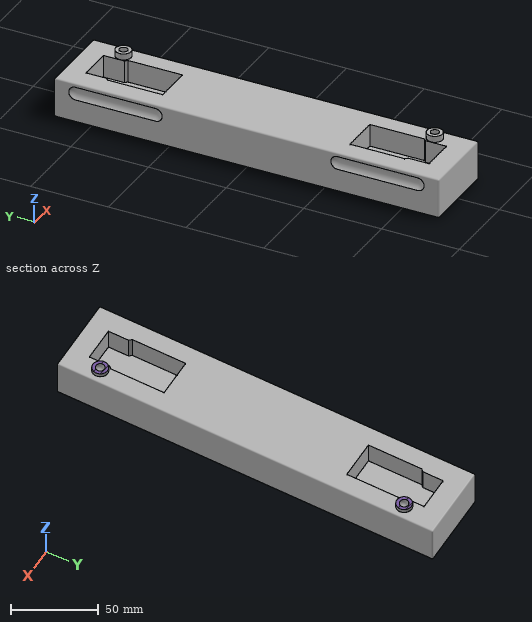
import cadquery as cq
import math

LENGTH = 248.0
WIDTH = 49.4
HEIGHT = 25.5
EDGE_RADIUS = 1.0

POCKET_WIDTH = 24.8
POCKET_LENGTH = 50.0
POCKET_DEPTH = 14.5
POCKET_END_MARGIN = 13.6
NECK_WIDTH = 21.8
NECK_LENGTH = 13.5
STEP = (POCKET_WIDTH - NECK_WIDTH) / 2

PIN_DIAMETER = 10.0
PIN_HEIGHT = 4.0
PIN_X = 16.0
PIN_END_MARGIN = 23.8
HOLE_DIAMETER = 5.2
HOLE_DEPTH = 6.0

GROOVE_LENGTH = 60.0
GROOVE_OPENING = 8.5
GROOVE_RADIUS = 5.2
GROOVE_AXIS_OFFSET = math.sqrt(GROOVE_RADIUS**2 - (GROOVE_OPENING / 2) ** 2)
GROOVE_END_MARGIN = 9.7
GROOVE_Z = HEIGHT - 6.5


def make_bar():
    bar = cq.Workplane("XY").box(WIDTH, LENGTH, HEIGHT, centered=(True, True, False))
    return bar.edges().fillet(EDGE_RADIUS)


def make_pocket():
    """Pocket at the +Y end: narrow neck outward, 45 degree shoulders, wide body inward."""
    outer_y = LENGTH / 2 - POCKET_END_MARGIN
    shoulder_y = outer_y - NECK_LENGTH
    inner_y = outer_y - POCKET_LENGTH
    right_side = [
        (POCKET_WIDTH / 2, inner_y),
        (POCKET_WIDTH / 2, shoulder_y - STEP),
        (NECK_WIDTH / 2, shoulder_y),
        (NECK_WIDTH / 2, outer_y),
    ]
    left_side = [(-x, y) for x, y in reversed(right_side)]
    outline = cq.Workplane("XY").workplane(offset=HEIGHT - POCKET_DEPTH).polyline(right_side + left_side)
    return outline.close().extrude(POCKET_DEPTH)


def make_groove():
    """Capsule at the +Y end, its axis just outside the -X face."""
    straight_length = GROOVE_LENGTH - GROOVE_OPENING
    half_length = straight_length / 2 + GROOVE_RADIUS
    half_profile = (
        cq.Workplane("XY")
        .moveTo(0, -half_length)
        .radiusArc((GROOVE_RADIUS, -straight_length / 2), -GROOVE_RADIUS)
        .lineTo(GROOVE_RADIUS, straight_length / 2)
        .radiusArc((0, half_length), -GROOVE_RADIUS)
        .close()
    )
    capsule = half_profile.revolve(360, (0, 0, 0), (0, 1, 0))
    centre_y = LENGTH / 2 - GROOVE_END_MARGIN - GROOVE_LENGTH / 2
    return capsule.translate((-WIDTH / 2 - GROOVE_AXIS_OFFSET, centre_y, GROOVE_Z))


def make_pin():
    """Pin at the +Y end, standing on the top face."""
    pin = cq.Workplane("XY").circle(PIN_DIAMETER / 2).extrude(PIN_HEIGHT)
    return pin.translate((PIN_X, LENGTH / 2 - PIN_END_MARGIN, HEIGHT))


def make_pin_hole():
    """Hole at the +Y end, entering the top of the pin and ending in a hemisphere."""
    radius = HOLE_DIAMETER / 2
    straight_depth = HOLE_DEPTH - radius
    straight = cq.Workplane("XY").circle(radius).extrude(straight_depth)
    hole = straight.union(cq.Workplane("XY").sphere(radius))
    bottom_centre_z = HEIGHT + PIN_HEIGHT - straight_depth
    return hole.translate((PIN_X, LENGTH / 2 - PIN_END_MARGIN, bottom_centre_z))


def both_ends(feature):
    """Return a +Y end feature together with its mirror image at the -Y end."""
    return feature.union(feature.mirror("XZ"))


result = make_bar()
result = result.cut(both_ends(make_pocket()))
result = result.cut(both_ends(make_groove()))
result = result.union(both_ends(make_pin()))
result = result.cut(both_ends(make_pin_hole()))